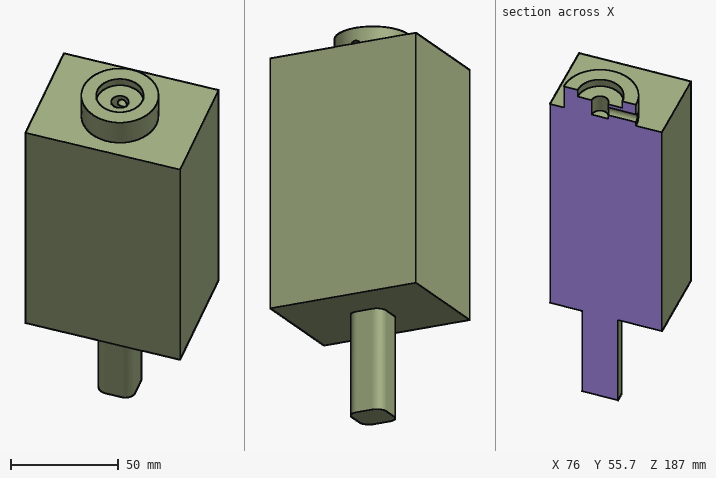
import cadquery as cq

total_height = 187.0
body_width = 76.0
body_depth = 55.7

collar_height = 13.0
collar_diameter = 35.9
recess_diameter = 22.0
recess_depth = 4.1
bore_diameter = 8.0
cross_hole_diameter = 4.5

shaft_length = 50.0
shaft_side = 18.0
shaft_corner_radius = 4.9

axis_to_front = 24.9

body_bottom = shaft_length
body_top = total_height - collar_height
recess_floor = total_height - recess_depth


def cylinder(diameter, bottom, top):
    """Vertical cylinder on the Z axis between two heights."""
    return cq.Workplane("XY").workplane(offset=bottom).circle(diameter / 2).extrude(top - bottom)


def make_body():
    """Rectangular block, set back from the shaft axis along Y."""
    return (
        cq.Workplane("XY")
        .workplane(offset=body_bottom)
        .center(0, body_depth / 2 - axis_to_front)
        .rect(body_width, body_depth)
        .extrude(body_top - body_bottom)
    )


def make_shaft():
    """Square shaft with rounded lengthwise edges."""
    return (
        cq.Workplane("XY")
        .rect(shaft_side, shaft_side)
        .extrude(shaft_length)
        .edges("|Z")
        .fillet(shaft_corner_radius)
    )


def make_cross_hole():
    """Radial hole from the bore out through the +Y side of the collar, midway between recess and body."""
    cross_hole_height = (body_top + recess_floor) / 2
    return (
        cq.Workplane("XZ")
        .center(0, cross_hole_height)
        .circle(cross_hole_diameter / 2)
        .extrude(-collar_diameter)
    )


collar = cylinder(collar_diameter, body_top, total_height)
recess = cylinder(recess_diameter, recess_floor, total_height)
bore = cylinder(bore_diameter, body_top, total_height)

result = (
    make_body()
    .union(make_shaft())
    .union(collar)
    .cut(recess)
    .cut(bore)
    .cut(make_cross_hole())
)